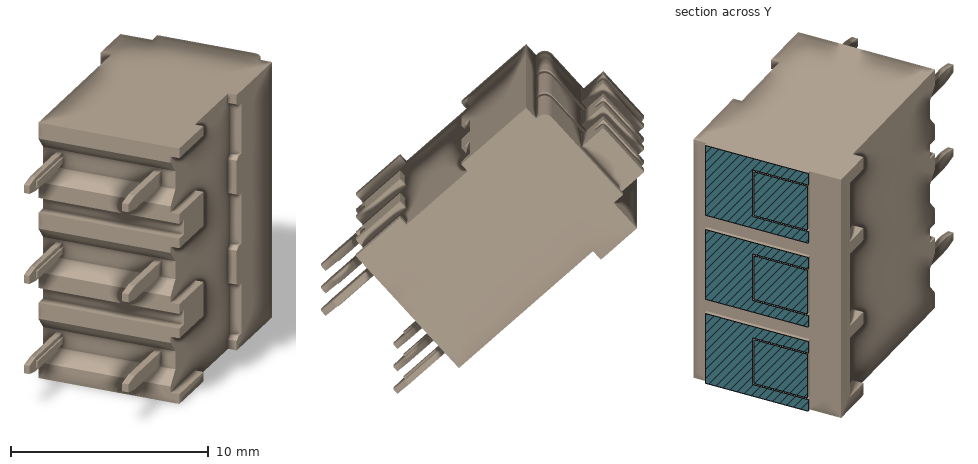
import cadquery as cq

total_length = 17.15
total_width = 8.4
total_height = 14.2
pole_count = 3
pole_pitch = 5.0
pole_height = total_height - (pole_count - 1) * pole_pitch
pole_gap = pole_pitch - pole_height
pole_centers = [pole_height / 2 + i * pole_pitch for i in range(pole_count)]

base_y = 3.5
shoulder_y = 15.05
tab_top_y = 15.7

lip_depth = 0.6
lip_band_y = 14.06
lip_leg_y = 12.6
lip_leg_height = 0.72

tab_start_x = 1.77
tab_end_x = 7.65
tab_radius = 0.5

groove_depth = 0.6
pin_groove_floor = 1.0
pin_groove_mouth = 2.42

recess_depth = 0.48
recess_low_y = 6.5
recess_high_y = 10.65
latch_mouth = 3.12
latch_throat = 2.78
latch_taper_length = 0.25
latch_ramp_length = 0.35

button_start_x = 1.8
button_width = 3.09
button_height = 2.64
button_notch_depth = 0.55
button_notch_mouth = 1.08
button_notch_floor = 0.53
slot_clearance = 0.05
slot_flare_length = 0.25
slot_flare = 0.15

pin_height = 0.75
pin_tip_height = 0.45
pin_taper_length = 0.79
left_pin_x = (1.35, 1.66)
right_pin_x = (6.79, 7.15)
left_rib_width = 0.1
right_rib_width = 0.07
rib_start_y = 0.79
rib_height = 0.35


def box(x_range, y_range, z_range):
    """Axis-aligned block between the given limits."""
    size = [high - low for low, high in (x_range, y_range, z_range)]
    corner = (x_range[0], y_range[0], z_range[0])
    return cq.Workplane("XY").box(*size, centered=False).translate(corner)


def span(center, length):
    """Limits of a length centred on a position."""
    return (center - length / 2, center + length / 2)


def yz_prism(points, x_range):
    """Prism along X from an outline of (y, z) points."""
    start, end = x_range
    return cq.Workplane("YZ").polyline(points).close().extrude(end - start).translate((start, 0, 0))


def symmetric_yz_prism(levels, z, x_range):
    """Prism along X, mirror-symmetric about z, from (y, full height) levels."""
    upper = [(y, z + height / 2) for y, height in levels]
    lower = [(y, z - height / 2) for y, height in reversed(levels)]
    return yz_prism(upper + lower, x_range)


def housing():
    body = box((lip_depth, total_width), (base_y, shoulder_y), (0, total_height))
    recess = box(
        (total_width - recess_depth, total_width), (recess_low_y, recess_high_y), (0, total_height)
    )
    return body.cut(recess)


def lip():
    band = box((0, lip_depth), (lip_band_y, shoulder_y), (0, total_height))
    ends = [(0, lip_leg_height), (total_height - lip_leg_height, total_height)]
    middles = [span(z + pole_pitch / 2, lip_leg_height) for z in pole_centers[:-1]]
    for leg_z in ends + middles:
        band = band.union(box((0, lip_depth), (lip_leg_y, shoulder_y), leg_z))
    return band


def tab(z):
    block = box((tab_start_x, tab_end_x), (shoulder_y, tab_top_y), span(z, pole_height))
    block = block.edges("|Z and >X and >Y").fillet(tab_radius)
    throat = button_height + 2 * slot_clearance
    flare_levels = [
        (shoulder_y, throat),
        (tab_top_y - slot_flare_length, throat),
        (tab_top_y, throat + 2 * slot_flare),
    ]
    slot_x = (tab_start_x, button_start_x + button_width + slot_clearance)
    return block.cut(symmetric_yz_prism(flare_levels, z, slot_x))


def button(z):
    x_range = (button_start_x, button_start_x + button_width)
    block = box(x_range, (shoulder_y, total_length), span(z, button_height))
    notch_levels = [
        (total_length - button_notch_depth, button_notch_floor),
        (total_length, button_notch_mouth),
    ]
    return block.cut(symmetric_yz_prism(notch_levels, z, x_range))


def pin_groove(z):
    levels = [(base_y, pin_groove_mouth), (base_y + groove_depth, pin_groove_floor)]
    return symmetric_yz_prism(levels, z, (lip_depth, total_width))


def pole_gap_groove(z):
    return box((lip_depth, total_width), (base_y, base_y + groove_depth), span(z, pole_gap))


def latch_window(z):
    """Slot through the wall below the recess, and a ramped pocket in the wall above it."""
    wall_x = (total_width - recess_depth, total_width)
    slot = box(wall_x, (base_y, recess_low_y), span(z, latch_mouth))
    ramp_y = recess_high_y + latch_taper_length
    taper = symmetric_yz_prism([(recess_high_y, latch_mouth), (ramp_y, latch_throat)], z, wall_x)
    ramp_outline = [(wall_x[0], ramp_y), (wall_x[1], ramp_y), (wall_x[1], ramp_y + latch_ramp_length)]
    ramp = (
        cq.Workplane("XY")
        .polyline(ramp_outline)
        .close()
        .extrude(latch_throat)
        .translate((0, 0, z - latch_throat / 2))
    )
    return slot.union(taper).union(ramp)


def pin(x_range, rib_x, z):
    root_y = base_y + groove_depth
    levels = [(0, pin_tip_height), (pin_taper_length, pin_height), (root_y, pin_height)]
    blade = symmetric_yz_prism(levels, z, x_range)
    return blade.union(box(rib_x, (rib_start_y, root_y), span(z, rib_height)))


left_rib_x = (left_pin_x[1], left_pin_x[1] + left_rib_width)
right_rib_x = (right_pin_x[0] - right_rib_width, right_pin_x[0])

result = housing().union(lip())
for center in pole_centers[:-1]:
    result = result.cut(pole_gap_groove(center + pole_pitch / 2))
for center in pole_centers:
    result = result.cut(pin_groove(center)).cut(latch_window(center))
    result = result.union(tab(center)).union(button(center))
    result = result.union(pin(left_pin_x, left_rib_x, center))
    result = result.union(pin(right_pin_x, right_rib_x, center))